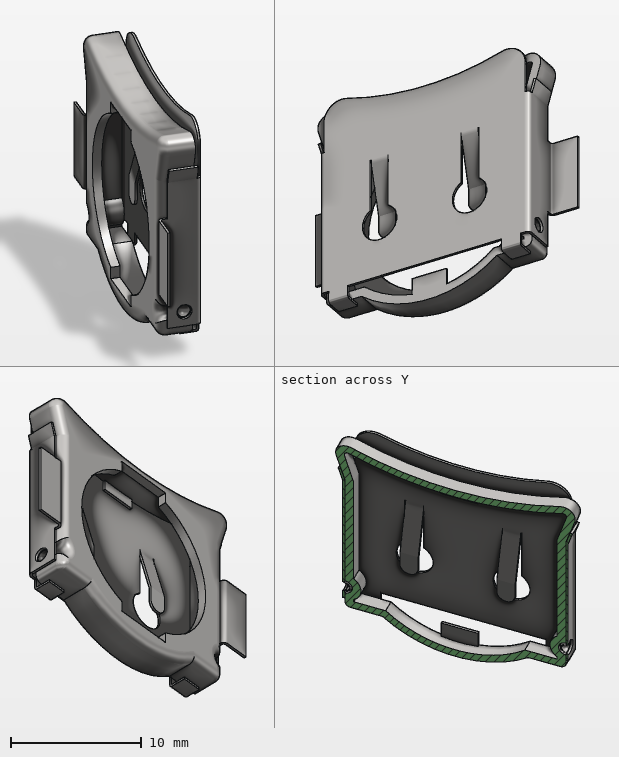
import cadquery as cq
import math


HOUSING_DEPTH = 2.8
WALL = 0.75
FRONT_FILLET = WALL
SIDE_X = 9.115
BOTTOM_Z = -7.08
BOTTOM_CORNER_RADIUS = 0.5
FLARE_START_Z = 6.24
FLARE_ANGLE = math.radians(16.6)
TOP_CORNER_RADIUS = 1.0
TOP_CORNER_PEAK_Z = 9.98
TOP_ARC_LOW_Z = 8.51
LOBE_LOW_Z = -9.14
LOBE_HALF_WIDTH = 6.0
NOTCH_RADIUS = 0.6
NOTCH_Z = -5.02
WINDOW_RADIUS = 7.03
SLOT_WIDTH = 4.97
SLOT_HALF_HEIGHT = 7.55
TAB_WIDTH = 3.03
TAB_REACH_Z = 6.87
TAB_THICKNESS = 0.2
BEYOND = 20.0

SHEET = 0.2
CLIP_BACK_Y = 3.51
PLATE_FRONT_Y = CLIP_BACK_Y - SHEET
BEND_OUTER = 0.4
WALL_OUTER_X = SIDE_X + SHEET
PLATE_EDGE_X = WALL_OUTER_X - BEND_OUTER
PLATE_PEAK_Z = 10.49
PLATE_ARC_LOW_Z = 9.43
PLATE_CORNER_RADIUS = 1.6
WALL_FRONT_Y = FRONT_FILLET
WALL_BOTTOM_Z = -FLARE_START_Z
FLARE_LENGTH = 1.25
FOOT_END_X = 11.63
FOOT_HALF_HEIGHT = 3.15
LEG_INNER_X = 6.82
LEG_OUTER_X = 8.5
LEG_FRONT_Y = 2.0
LEG_BEND_OUTER = 0.25
DIMPLE_Y = 2.1
DIMPLE_RADIUS = 0.58
DIMPLE_CUP_RADIUS = 0.5
DIMPLE_MOUTH_RADIUS = 0.6
FINGER_X = 3.99
FINGER_WIDTH = 1.5
FINGER_SIDE_GAP = 0.08
FINGER_SLOT_TOP_Z = 4.27
FINGER_BEND_Z = 4.13
FINGER_BEND_RADIUS = 1.0
FINGER_FLAT_Z = -0.16
FINGER_TIP_Z = -2.2
FINGER_FRONT_Y = 2.18
FINGER_HOLE_RADIUS = 1.52
FINGER_HOLE_Z = -1.47


def box(x_range, y_range, z_range):
    """Box between the given limits along each axis."""
    sizes = [high - low for low, high in (x_range, y_range, z_range)]
    lows = (x_range[0], y_range[0], z_range[0])
    return cq.Workplane("XY").box(*sizes, centered=False).translate(lows)


def with_mirror(half):
    """A shape together with its mirror image across the YZ plane."""
    return half.union(half.mirror("YZ"))


def concave_radius(low_z, corner_x, corner_z, corner_radius):
    """Radius of the sagging top arc, centred on X = 0, that runs smoothly into a round corner."""
    rise = corner_z - low_z
    return (corner_x**2 + rise**2 - corner_radius**2) / (2 * (rise + corner_radius))


def toward_arc_center(low_z, arc_radius, corner_x, corner_z, corner_radius):
    """Point where the round corner meets the sagging top arc."""
    share = corner_radius / (arc_radius + corner_radius)
    return (corner_x * (1 - share), corner_z + (low_z + arc_radius - corner_z) * share)


def mirrored(point):
    """An outline point reflected to the other side of X = 0."""
    return (-point[0], point[1])


def housing_outline():
    """Outer outline of the housing, without the side notches."""
    radius = TOP_CORNER_RADIUS
    sin_flare = math.sin(FLARE_ANGLE)
    cos_flare = math.cos(FLARE_ANGLE)
    corner_z = TOP_CORNER_PEAK_Z - radius
    tangent_z = corner_z - radius * sin_flare
    tangent_x = SIDE_X + (tangent_z - FLARE_START_Z) * math.tan(FLARE_ANGLE)
    corner_x = tangent_x - radius * cos_flare
    arc_radius = concave_radius(TOP_ARC_LOW_Z, corner_x, corner_z, radius)
    arc_end = toward_arc_center(TOP_ARC_LOW_Z, arc_radius, corner_x, corner_z, radius)
    reach = radius * math.sqrt(0.5)
    corner_mid = (corner_x + reach, corner_z + reach)
    flare_end = (tangent_x, tangent_z)
    flare_start = (SIDE_X, FLARE_START_Z)
    bottom_corner = (SIDE_X, BOTTOM_Z)
    lobe_end = (LOBE_HALF_WIDTH, BOTTOM_Z)
    return (
        cq.Workplane("XZ")
        .moveTo(*mirrored(arc_end))
        .threePointArc((0, TOP_ARC_LOW_Z), arc_end)
        .threePointArc(corner_mid, flare_end)
        .lineTo(*flare_start)
        .lineTo(*bottom_corner)
        .lineTo(*lobe_end)
        .threePointArc((0, LOBE_LOW_Z), mirrored(lobe_end))
        .lineTo(*mirrored(bottom_corner))
        .lineTo(*mirrored(flare_start))
        .lineTo(*mirrored(flare_end))
        .threePointArc(mirrored(corner_mid), mirrored(arc_end))
        .close()
    )


def side_columns(radius):
    """Round columns along Y, centred on the side faces at the dimple height."""
    centers = [(-SIDE_X, NOTCH_Z), (SIDE_X, NOTCH_Z)]
    return cq.Workplane("XZ").pushPoints(centers).circle(radius).extrude(-HOUSING_DEPTH)


def outer_shell():
    """Solid housing block with notched sides and its outer edges rounded."""
    block = housing_outline().extrude(-HOUSING_DEPTH)
    block = block.cut(side_columns(NOTCH_RADIUS))
    block = block.faces("<Y").edges().fillet(FRONT_FILLET)
    for x in (-SIDE_X, SIDE_X):
        corner = cq.selectors.NearestToPointSelector((x, HOUSING_DEPTH / 2, BOTTOM_Z))
        block = block.edges("|Y").edges(corner).fillet(BOTTOM_CORNER_RADIUS)
    return block


def cavity():
    """Space behind the front wall; two thin tabs at the back edge are left standing in it."""
    space = housing_outline().offset2D(-WALL, "intersection").extrude(-HOUSING_DEPTH)
    space = space.cut(side_columns(NOTCH_RADIUS + WALL))
    space = space.intersect(box((-BEYOND, BEYOND), (WALL, HOUSING_DEPTH), (-BEYOND, BEYOND)))
    tab_x = (-TAB_WIDTH / 2, TAB_WIDTH / 2)
    tab_y = (HOUSING_DEPTH - TAB_THICKNESS, HOUSING_DEPTH)
    upper_tab = box(tab_x, tab_y, (TAB_REACH_Z, BEYOND))
    lower_tab = box(tab_x, tab_y, (-BEYOND, -TAB_REACH_Z))
    return space.cut(upper_tab).cut(lower_tab)


def window():
    """Round opening in the front wall, with a slot across it that lies in front of the tabs."""
    slot_x = (-SLOT_WIDTH / 2, SLOT_WIDTH / 2)
    slot = box(slot_x, (0, WALL), (-SLOT_HALF_HEIGHT, SLOT_HALF_HEIGHT))
    return cq.Workplane("XZ").circle(WINDOW_RADIUS).extrude(-WALL).union(slot)


def make_housing():
    return outer_shell().cut(cavity()).cut(window())


def quarter_bend(plane, center, signs, outer_radius, span):
    """Quarter-round sheet bend in the given quadrant about its centre, swept over a span."""
    inner_radius = outer_radius - SHEET

    def at(radius, u, v):
        return (center[0] + signs[0] * radius * u, center[1] + signs[1] * radius * v)

    diagonal = math.sqrt(0.5)
    return (
        cq.Workplane(plane)
        .workplane(offset=span[0])
        .moveTo(*at(outer_radius, 1, 0))
        .threePointArc(at(outer_radius, diagonal, diagonal), at(outer_radius, 0, 1))
        .lineTo(*at(inner_radius, 0, 1))
        .threePointArc(at(inner_radius, diagonal, diagonal), at(inner_radius, 1, 0))
        .close()
        .extrude(span[1] - span[0])
    )


def back_plate():
    corner_x = PLATE_EDGE_X - PLATE_CORNER_RADIUS
    corner_z = PLATE_PEAK_Z - PLATE_CORNER_RADIUS
    arc_radius = concave_radius(PLATE_ARC_LOW_Z, corner_x, corner_z, PLATE_CORNER_RADIUS)
    arc_end = toward_arc_center(PLATE_ARC_LOW_Z, arc_radius, corner_x, corner_z, PLATE_CORNER_RADIUS)
    reach = PLATE_CORNER_RADIUS * math.sqrt(0.5)
    corner_mid = (corner_x + reach, corner_z + reach)
    corner_end = (PLATE_EDGE_X, corner_z)
    return (
        cq.Workplane("XZ", origin=(0, PLATE_FRONT_Y, 0))
        .moveTo(*mirrored(arc_end))
        .threePointArc((0, PLATE_ARC_LOW_Z), arc_end)
        .threePointArc(corner_mid, corner_end)
        .lineTo(PLATE_EDGE_X, WALL_BOTTOM_Z)
        .lineTo(-PLATE_EDGE_X, WALL_BOTTOM_Z)
        .lineTo(*mirrored(corner_end))
        .threePointArc(mirrored(corner_mid), mirrored(arc_end))
        .close()
        .extrude(-SHEET)
    )


def side_wall():
    """Right wall with its bend to the plate and the flared end that follows the housing."""
    z_range = (WALL_BOTTOM_Z, FLARE_START_Z)
    bend_y = CLIP_BACK_Y - BEND_OUTER
    wall = box((SIDE_X, WALL_OUTER_X), (WALL_FRONT_Y, bend_y), z_range)
    bend = quarter_bend("XY", (PLATE_EDGE_X, bend_y), (1, 1), BEND_OUTER, z_range)
    along = (FLARE_LENGTH * math.sin(FLARE_ANGLE), FLARE_LENGTH * math.cos(FLARE_ANGLE))
    miter = SHEET * math.tan(FLARE_ANGLE / 2)
    flare = (
        cq.Workplane("XZ", origin=(0, WALL_FRONT_Y, 0))
        .moveTo(SIDE_X, FLARE_START_Z)
        .lineTo(SIDE_X + along[0], FLARE_START_Z + along[1])
        .line(SHEET * math.cos(FLARE_ANGLE), -SHEET * math.sin(FLARE_ANGLE))
        .lineTo(WALL_OUTER_X, FLARE_START_Z - miter)
        .lineTo(SIDE_X, FLARE_START_Z - miter)
        .close()
        .extrude(WALL_FRONT_Y - bend_y)
    )
    return wall.union(bend).union(flare)


def foot():
    """Solder foot that turns outward from the front edge of the right wall."""
    z_range = (-FOOT_HALF_HEIGHT, FOOT_HALF_HEIGHT)
    bend_x = SIDE_X + BEND_OUTER
    web = box((SIDE_X, WALL_OUTER_X), (BEND_OUTER, WALL_FRONT_Y), z_range)
    bend = quarter_bend("XY", (bend_x, BEND_OUTER), (-1, -1), BEND_OUTER, z_range)
    pad = box((bend_x, FOOT_END_X), (0, SHEET), z_range)
    return web.union(bend).union(pad)


def leg():
    """Leg from the lower edge of the plate, turned forward under the housing."""
    x_range = (LEG_INNER_X, LEG_OUTER_X)
    bend_y = CLIP_BACK_Y - LEG_BEND_OUTER
    low_z = BOTTOM_Z - SHEET
    bend_z = low_z + LEG_BEND_OUTER
    drop = box(x_range, (PLATE_FRONT_Y, CLIP_BACK_Y), (bend_z, WALL_BOTTOM_Z))
    bend = quarter_bend("YZ", (bend_y, bend_z), (1, -1), LEG_BEND_OUTER, x_range)
    shelf = box(x_range, (LEG_FRONT_Y, bend_y), (low_z, BOTTOM_Z))
    return drop.union(bend).union(shelf)


def add_dimple(wall):
    """Locking dimple pressed inward from the right wall."""
    center = (SIDE_X, DIMPLE_Y, NOTCH_Z)
    dome = cq.Workplane("XY").sphere(DIMPLE_RADIUS).translate(center)
    dome = dome.intersect(box((0, SIDE_X + SHEET / 2), (0, CLIP_BACK_Y), (-BEYOND, BEYOND)))
    cup = cq.Workplane("XY").sphere(DIMPLE_CUP_RADIUS).translate(center)
    outward = cq.Vector(1, 0, 0)
    mouth = cq.Solid.makeCone(DIMPLE_CUP_RADIUS, DIMPLE_MOUTH_RADIUS, SHEET, cq.Vector(center), outward)
    return wall.union(dome).cut(cup).cut(cq.Workplane(mouth))


def finger_opening():
    """Keyhole opening in the plate around the right spring finger."""
    inner_x = FINGER_X - FINGER_WIDTH / 2
    outer_x = FINGER_X + FINGER_WIDTH / 2 + FINGER_SIDE_GAP
    y_range = (PLATE_FRONT_Y, CLIP_BACK_Y)
    slot = box((inner_x, outer_x), y_range, (FINGER_HOLE_Z, FINGER_SLOT_TOP_Z))
    hole = (
        cq.Workplane("XZ", origin=(FINGER_X, PLATE_FRONT_Y, FINGER_HOLE_Z))
        .circle(FINGER_HOLE_RADIUS)
        .extrude(-SHEET)
    )
    return slot.union(hole)


def finger():
    """Right spring finger: slopes forward from the plate and ends in a flat round tip."""
    slope = math.atan2(PLATE_FRONT_Y - FINGER_FRONT_Y, FINGER_BEND_Z - FINGER_FLAT_Z)
    miter = SHEET * math.tan(slope / 2)
    half_width = FINGER_WIDTH / 2
    strip = (
        cq.Workplane("YZ", origin=(FINGER_X - half_width, 0, 0))
        .moveTo(PLATE_FRONT_Y, FINGER_SLOT_TOP_Z)
        .lineTo(PLATE_FRONT_Y, FINGER_BEND_Z)
        .lineTo(FINGER_FRONT_Y, FINGER_FLAT_Z)
        .lineTo(FINGER_FRONT_Y, FINGER_TIP_Z)
        .lineTo(FINGER_FRONT_Y + SHEET, FINGER_TIP_Z)
        .lineTo(FINGER_FRONT_Y + SHEET, FINGER_FLAT_Z - miter)
        .lineTo(CLIP_BACK_Y, FINGER_BEND_Z - miter)
        .lineTo(CLIP_BACK_Y, FINGER_SLOT_TOP_Z)
        .close()
        .extrude(FINGER_WIDTH)
    )
    bend_front = cq.selectors.NearestToPointSelector((FINGER_X, PLATE_FRONT_Y, FINGER_BEND_Z))
    bend_back = cq.selectors.NearestToPointSelector((FINGER_X, CLIP_BACK_Y, FINGER_BEND_Z - miter))
    strip = strip.edges(bend_front).fillet(FINGER_BEND_RADIUS)
    strip = strip.edges(bend_back).fillet(FINGER_BEND_RADIUS + SHEET)
    tip_outline = (
        cq.Workplane("XZ", origin=(FINGER_X, 0, FINGER_TIP_Z + half_width))
        .moveTo(-half_width, 0)
        .threePointArc((0, -half_width), (half_width, 0))
        .lineTo(half_width, FINGER_SLOT_TOP_Z - FINGER_TIP_Z)
        .lineTo(-half_width, FINGER_SLOT_TOP_Z - FINGER_TIP_Z)
        .close()
        .extrude(-CLIP_BACK_Y)
    )
    return strip.intersect(tip_outline)


def make_clip():
    half = add_dimple(side_wall()).union(foot()).union(leg())
    plate = back_plate().cut(with_mirror(finger_opening()))
    return plate.union(with_mirror(half)).union(with_mirror(finger()))


housing = make_housing()
clip = make_clip()
result = cq.Compound.makeCompound([housing.val(), clip.val()])